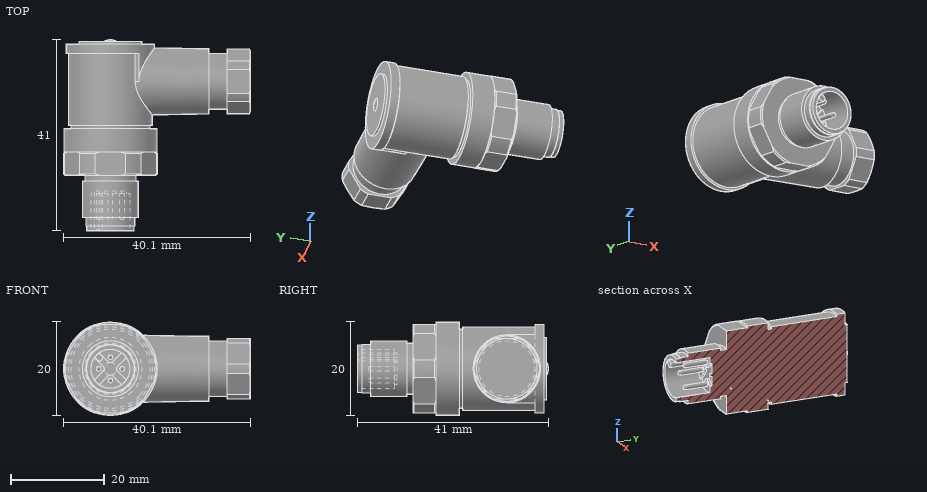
import cadquery as cq
import math


TIP_END = 1.0
SPIGOT_END = 2.85
COLLAR_END = 10.65
NUT_START = 11.9
NUT_END = 16.9
RING_END = 21.9
GROOVE_END = 22.6
FLANGE_START = 38.05
FLANGE_END = 40.05
COVER_END = 40.6
TOTAL_HEIGHT = 41.0

TIP_RADIUS = 5.1
SPIGOT_RADIUS = 5.25
COLLAR_RADIUS = 6.0
NECK_RADIUS = 5.5
RING_RADIUS = 10.0
GROOVE_RADIUS = 8.5
BODY_RADIUS = 9.0
FLANGE_RADIUS = 9.5
COVER_RADIUS = 6.75
DOME_RADIUS = 1.4

NUT_FLAT_DISTANCE = 9.5
NUT_CORNER_RADIUS = 10.05
NUT_CHAMFER = 0.3

OUTLET_Y = 32.05
OUTLET_START_X = 4.5
OUTLET_END_X = 21.1
OUTLET_END_RADIUS = 7.0
OUTLET_TAPER = math.radians(1.0)
BLOCK_HALF_WIDTH = 7.3
GLAND_NECK_RADIUS = 6.0
GLAND_START_X = 25.0
GLAND_END_X = 30.0
GLAND_FLAT_DISTANCE = 6.5
GLAND_CORNER_RADIUS = 7.0
GLAND_CHAMFER_LENGTH = 0.2

SOCKET_RADIUS = 4.18
SOCKET_DEPTH = 8.0
CROSS_WIDTH = 1.46
CROSS_CORNER_RADIUS = 0.65
CROSS_DEPTH = 0.5
PIN_CIRCLE_RADIUS = 2.5
PIN_RADIUS = 0.5
PIN_TIP_Y = 2.4
PIN_COUNT = 4
KEY_RADIUS = 0.65
KEY_TIP_DISTANCE = 2.65
KEY_START_Y = 0.3
KEY_ANGLE = 135.0

OVERLAP = 0.5


def along_y(y):
    """Sketch plane square to the plug axis, extruding toward +Y, with local x = X and local y = -Z."""
    return cq.Workplane(cq.Plane(origin=(0, y, 0), xDir=(1, 0, 0), normal=(0, 1, 0)))


def along_x(x):
    """Sketch plane square to the outlet axis, extruding toward +X, with local x = Y and local y = Z."""
    return cq.Workplane(cq.Plane(origin=(x, OUTLET_Y, 0), xDir=(0, 1, 0), normal=(1, 0, 0)))


def hexagon(plane, flat_distance, length):
    """Hexagonal prism with flats facing local +y and -y."""
    corner_diameter = 2 * flat_distance / math.cos(math.pi / 6)
    return plane.polygon(6, corner_diameter).extrude(length)


def turned_body():
    """All round steps along the plug axis, from the tip to the cover, without the flange."""
    steps = [
        (TIP_RADIUS, TIP_END),
        (SPIGOT_RADIUS, SPIGOT_END),
        (COLLAR_RADIUS, COLLAR_END),
        (NECK_RADIUS, NUT_END),
        (RING_RADIUS, RING_END),
        (GROOVE_RADIUS, GROOVE_END),
        (BODY_RADIUS, FLANGE_END),
        (COVER_RADIUS, COVER_END),
    ]
    profile = cq.Workplane("XY").moveTo(0, 0)
    start = 0.0
    for radius, end in steps:
        profile = profile.lineTo(radius, start).lineTo(radius, end)
        start = end
    height = TOTAL_HEIGHT - COVER_END
    sphere_radius = (DOME_RADIUS**2 + height**2) / (2 * height)
    half_angle = math.asin(DOME_RADIUS / sphere_radius) / 2
    middle_x = sphere_radius * math.sin(half_angle)
    middle_y = TOTAL_HEIGHT - sphere_radius * (1 - math.cos(half_angle))
    profile = profile.lineTo(DOME_RADIUS, COVER_END)
    profile = profile.threePointArc((middle_x, middle_y), (0, TOTAL_HEIGHT))
    return profile.close().revolve(360, (0, 0, 0), (0, 1, 0))


def coupling_nut():
    length = NUT_END - NUT_START
    corners = along_y(NUT_START).circle(NUT_CORNER_RADIUS).extrude(length).edges().chamfer(NUT_CHAMFER)
    return hexagon(along_y(NUT_START), NUT_FLAT_DISTANCE, length).intersect(corners)


def outlet_radius(x):
    return OUTLET_END_RADIUS + (OUTLET_END_X - x) * math.tan(OUTLET_TAPER)


def flange():
    """Flange disc that reaches down to the outlet axis as a block on the outlet side."""
    disc = along_y(OUTLET_Y).circle(FLANGE_RADIUS).extrude(FLANGE_END - OUTLET_Y)
    block_height = FLANGE_START - OUTLET_Y
    below_flange = along_y(OUTLET_Y).rect(3 * FLANGE_RADIUS, 3 * FLANGE_RADIUS).extrude(block_height)
    block = along_y(OUTLET_Y).rect(2 * FLANGE_RADIUS, 2 * BLOCK_HALF_WIDTH).extrude(block_height)
    return disc.cut(below_flange.cut(block.translate((FLANGE_RADIUS, 0, 0))))


def cable_outlet():
    """Slightly tapered arm from inside the body, followed by the gland neck."""
    arm = (
        cq.Workplane("XY")
        .moveTo(OUTLET_START_X, OUTLET_Y)
        .lineTo(OUTLET_START_X, OUTLET_Y + outlet_radius(OUTLET_START_X))
        .lineTo(OUTLET_END_X, OUTLET_Y + OUTLET_END_RADIUS)
        .lineTo(OUTLET_END_X, OUTLET_Y)
        .close()
        .revolve(360, (0, OUTLET_Y, 0), (1, OUTLET_Y, 0))
    )
    neck_start = OUTLET_END_X - OVERLAP
    neck_length = GLAND_START_X + OVERLAP - neck_start
    return arm.union(along_x(neck_start).circle(GLAND_NECK_RADIUS).extrude(neck_length))


def gland_nut():
    length = GLAND_END_X - GLAND_START_X
    chamfer_width = GLAND_CORNER_RADIUS - GLAND_FLAT_DISTANCE
    corners = along_x(GLAND_START_X).circle(GLAND_CORNER_RADIUS).extrude(length)
    corners = corners.faces(">X").chamfer(GLAND_CHAMFER_LENGTH, chamfer_width)
    return hexagon(along_x(GLAND_START_X), GLAND_FLAT_DISTANCE, length).intersect(corners)


def socket_bore():
    return along_y(0).circle(SOCKET_RADIUS).extrude(SOCKET_DEPTH)


def cross_groove():
    """Diagonal cross sunk in the socket floor, with rounded inner corners."""
    bar_length = 3 * SOCKET_RADIUS
    plane = along_y(SOCKET_DEPTH)
    cross = plane.rect(bar_length, CROSS_WIDTH).extrude(CROSS_DEPTH)
    cross = cross.union(plane.rect(CROSS_WIDTH, bar_length).extrude(CROSS_DEPTH))
    inner_corners = cq.selectors.BoxSelector(
        (-CROSS_WIDTH, 0, -CROSS_WIDTH), (CROSS_WIDTH, TOTAL_HEIGHT, CROSS_WIDTH)
    )
    cross = cross.edges("|Y").edges(inner_corners).fillet(CROSS_CORNER_RADIUS)
    cross = cross.rotate((0, 0, 0), (0, 1, 0), 45)
    return cross.intersect(plane.circle(SOCKET_RADIUS).extrude(CROSS_DEPTH))


def contact_pins():
    """Round-ended pins standing on the socket floor."""
    root_y = SOCKET_DEPTH + OVERLAP
    crown_y = PIN_TIP_Y + PIN_RADIUS
    crown_middle = PIN_RADIUS * math.sqrt(0.5)
    pin = (
        cq.Workplane("XY")
        .moveTo(0, PIN_TIP_Y)
        .threePointArc((crown_middle, crown_y - crown_middle), (PIN_RADIUS, crown_y))
        .lineTo(PIN_RADIUS, root_y)
        .lineTo(0, root_y)
        .close()
        .revolve(360, (0, 0, 0), (0, 1, 0))
        .translate((PIN_CIRCLE_RADIUS, 0, 0))
    )
    pins = cq.Workplane("XY")
    for index in range(PIN_COUNT):
        pins = pins.add(pin.rotate((0, 0, 0), (0, 1, 0), index * 360 / PIN_COUNT))
    return pins.combine()


def coding_key():
    """Rib with a rounded crest along the socket wall."""
    crest_distance = KEY_TIP_DISTANCE + KEY_RADIUS
    wall_distance = SOCKET_RADIUS + OVERLAP
    rib = (
        along_y(KEY_START_Y)
        .moveTo(wall_distance, KEY_RADIUS)
        .lineTo(crest_distance, KEY_RADIUS)
        .threePointArc((KEY_TIP_DISTANCE, 0), (crest_distance, -KEY_RADIUS))
        .lineTo(wall_distance, -KEY_RADIUS)
        .close()
        .extrude(SOCKET_DEPTH + CROSS_DEPTH + OVERLAP - KEY_START_Y)
    )
    return rib.rotate((0, 0, 0), (0, 1, 0), -KEY_ANGLE)


housing = turned_body().union(coupling_nut()).union(flange())
housing = housing.union(cable_outlet()).union(gland_nut())
socket = housing.cut(socket_bore()).cut(cross_groove())
result = socket.union(contact_pins()).union(coding_key())